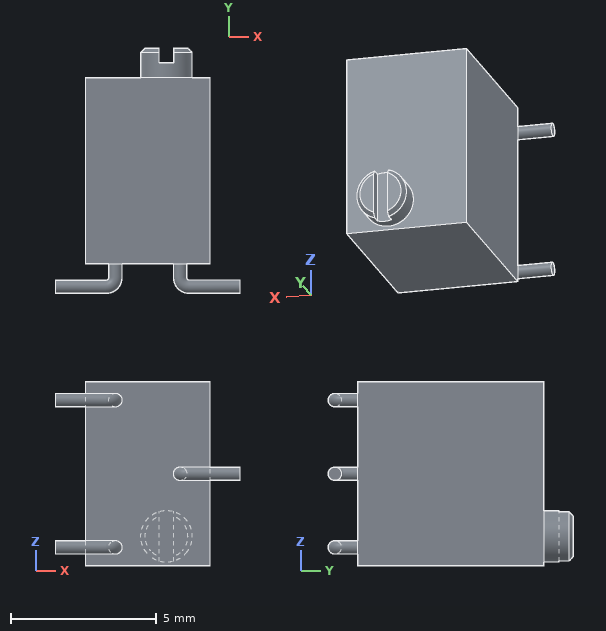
import cadquery as cq

housing_width = 4.3
housing_depth = 6.41
housing_height = 6.35
front_y = -housing_depth / 2
back_y = housing_depth / 2

screw_diameter = 1.78
screw_length = 1.02
screw_x = 0.64
screw_z = -2.16
screw_chamfer = 0.15
slot_width = 0.5
slot_depth = 0.51

lead_diameter = 0.465
lead_reach = 1.02
lead_span = 6.36
lead_root_x = 1.12
lead_pitch = 2.54
bend_radius = 0.31


def make_housing():
    return cq.Workplane("XY").box(housing_width, housing_depth, housing_height)


def make_screw():
    """Round screw head with a chamfered rim and a slot running along Z."""
    screw = (
        cq.Workplane("XZ", origin=(screw_x, back_y, screw_z))
        .circle(screw_diameter / 2)
        .extrude(-screw_length)
        .faces(">Y")
        .chamfer(screw_chamfer)
    )
    slot_y = back_y + screw_length - slot_depth / 2
    slot = cq.Workplane("XY").box(slot_width, slot_depth, screw_diameter)
    return screw.cut(slot.translate((screw_x, slot_y, screw_z)))


def make_lead(side, z):
    """Wire leaving the front face and bending outward; side is -1 or +1 along X."""
    root_x = side * lead_root_x
    bend_start_x = root_x + side * bend_radius
    tip_x = side * lead_span / 2
    arm_y = front_y - lead_reach + lead_diameter / 2
    bend_start_y = arm_y + bend_radius
    path = (
        cq.Workplane("XY", origin=(0, 0, z))
        .moveTo(root_x, front_y)
        .lineTo(root_x, bend_start_y)
        .tangentArcPoint((bend_start_x, arm_y), relative=False)
        .lineTo(tip_x, arm_y)
    )
    return (
        cq.Workplane("XZ", origin=(root_x, front_y, z))
        .circle(lead_diameter / 2)
        .sweep(path)
    )


housing = make_housing()
screw = make_screw()

lead_places = [(-1, lead_pitch), (1, 0), (-1, -lead_pitch)]
leads = [make_lead(side, z) for side, z in lead_places]

result = cq.Compound.makeCompound(
    [housing.val(), screw.val(), *[lead.val() for lead in leads]]
)